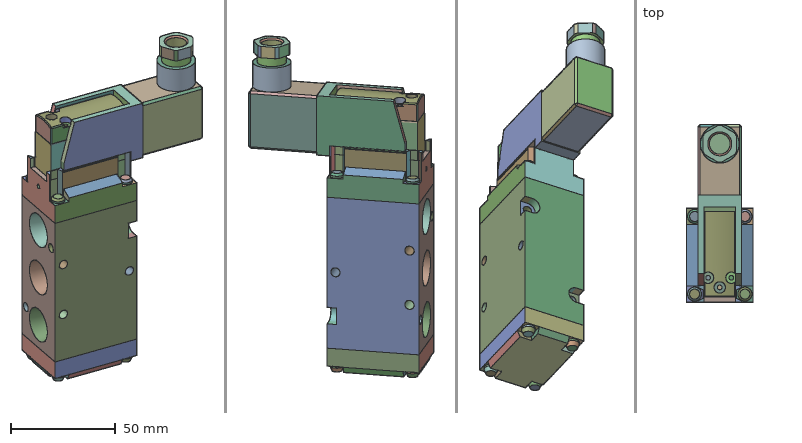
import cadquery as cq
import math


width = 32.0
height = 159.1
length = 85.0
valve_depth = 45.0

cap_top = 12.3
body_top = 88.3
shoulder_outer_z = 100.0
shoulder_inner_z = 102.3
corner_floor_z = 98.0
keel_bottom = 107.2
adapter_top = 112.3
cover_bottom = 126.8
pilot_top = 137.1

corner_size = 7.8
screw_inset = 4.0
head_radius = 3.3
head_rim_height = 1.0
head_top_radius = 2.4
adapter_head_height = 2.0

port_pitch = 26.0
port_middle_z = 50.8
port_radius = 7.5
port_mouth_radius = 8.6
port_depth = 10.3
drill_point_angle = 118.0
fixing_radius = 2.2
front_fixing_x = 12.1
front_fixing_dz = 22.1
cross_front_y = 4.6
cross_rear_y = 40.9
cross_front_dz = 13.7
rear_slot_width = 8.3
rear_slot_depth = 4.6

foot_height = 3.2
foot_inset = 1.6

column_half = 10.5
column_ledge = 1.0
relief_depth = 2.5
relief_floor_width = 4.0
relief_splay = 1.3
vent_radius = 1.1
vent_depth = 3.2
vent_z = 100.7

pilot_half = 10.5
pilot_front = 2.5
pilot_rear = 51.4
keel_half = 7.55
cheek_top_y = 13.8
cheek_foot_y = 8.1
cheek_foot_z = 116.3
nose_chamfer_width = 0.24
nose_chamfer_height = 1.0
channel_rear = 45.7

cover_half = keel_half
cover_chamfer = 0.5
cover_rear = 43.5
cover_edge_z = 135.7
cover_crown_z = 137.0
cover_hole_radius = 2.7
cover_hole_depth = 3.2
cover_pilot_radius = 1.1
cover_pilot_depth = 1.6
side_hole_x = 5.5
side_hole_y = 11.8
centre_hole_y = 7.2

connector_half = 10.5
connector_bottom = 107.9
connector_top = 136.8
connector_chamfer = 1.1
gland_radius = 9.2
gland_y = length - gland_radius
collar_top = 148.9
neck_radius = 7.0
nut_bottom = 153.4
nut_flats = 16.0
nut_round_radius = 8.8
cable_radius = 5.0
cable_mouth_radius = 5.7
cable_depth = 15.9

side_signs = (-1, 1)


def box(x0, x1, y0, y1, z0, z1):
    """Box given by its lower and upper limits along each axis."""
    return cq.Workplane("XY").box(x1 - x0, y1 - y0, z1 - z0, centered=False).translate((x0, y0, z0))


def centred_box(half_width, y0, y1, z0, z1):
    return box(-half_width, half_width, y0, y1, z0, z1)


def rod(radius, start, direction, depth):
    """Cylinder from a start point along a direction."""
    return cq.Workplane(cq.Solid.makeCylinder(radius, depth, cq.Vector(*start), cq.Vector(*direction)))


def corner_places():
    """The X sign and Y centre of each corner screw."""
    return [(sign, y) for sign in side_signs for y in (screw_inset, valve_depth - screw_inset)]


def corner_recess(sign, screw_y, z0, z1):
    """Square block that clears one corner around a screw head."""
    x0, x1 = sorted((sign * (width / 2 - corner_size), sign * width / 2))
    y0 = 0 if screw_y < valve_depth / 2 else valve_depth - corner_size
    return box(x0, x1, y0, y0 + corner_size, z0, z1)


def screw_head(sign, screw_y, seat_z, direction, head_height):
    """Round head: a plain rim and a tapered crown, rising from its seat up or down."""
    profile = [
        (0, 0),
        (head_radius, 0),
        (head_radius, head_rim_height),
        (head_top_radius, head_height),
        (0, head_height),
    ]
    outline = [(radius, direction * rise) for radius, rise in profile]
    head = cq.Workplane("XZ").polyline(outline).close().revolve(360, (0, 0), (0, 1))
    return head.translate((sign * (width / 2 - screw_inset), screw_y, seat_z))


def make_port(z):
    """Tapered port that ends in a drill point."""
    tip_depth = port_radius / math.tan(math.radians(drill_point_angle / 2))
    outline = [
        (0, 0),
        (port_mouth_radius, 0),
        (port_radius, port_depth),
        (0, port_depth + tip_depth),
    ]
    port = cq.Workplane("XY").polyline(outline).close().revolve(360, (0, 0), (0, 1))
    return port.translate((0, 0, z))


def make_valve_body():
    body = centred_box(width / 2, 0, valve_depth, cap_top, body_top)
    for step in (-1, 0, 1):
        body = body.cut(make_port(port_middle_z + step * port_pitch))

    for sign in side_signs:
        x = sign * front_fixing_x
        z = port_middle_z + sign * front_fixing_dz
        body = body.cut(rod(fixing_radius, (x, 0, z), (0, 1, 0), valve_depth))
        slot_floor = valve_depth - rear_slot_depth
        slot_half = rear_slot_width / 2
        slot_end = rod(slot_half, (x, slot_floor, z), (0, 1, 0), rear_slot_depth)
        x0, x1 = sorted((x, sign * width / 2))
        body = body.cut(slot_end).cut(box(x0, x1, slot_floor, valve_depth, z - slot_half, z + slot_half))

    cross_holes = [
        (cross_front_y, port_middle_z - cross_front_dz),
        (cross_front_y, port_middle_z + cross_front_dz),
        (cross_rear_y, port_middle_z),
    ]
    for y, z in cross_holes:
        body = body.cut(rod(fixing_radius, (-width / 2, y, z), (1, 0, 0), width))
    return body


def make_end_cap():
    cap = centred_box(width / 2, 0, valve_depth, foot_height, cap_top)

    foot = (
        cq.Workplane("XY")
        .center(0, valve_depth / 2)
        .rect(width - 2 * foot_inset, valve_depth - 2 * foot_inset)
        .workplane(offset=foot_height)
        .rect(width, valve_depth)
        .loft()
    )
    for sign, screw_y in corner_places():
        foot = foot.cut(corner_recess(sign, screw_y, 0, foot_height))
    cap = cap.union(foot)

    for sign, screw_y in corner_places():
        cap = cap.union(screw_head(sign, screw_y, foot_height, -1, foot_height))
    return cap


def column_relief(sign, screw_y):
    """Upright groove with splayed sides that clears a corner screw."""
    floor_half = relief_floor_width / 2
    mouth_half = floor_half + relief_splay
    floor_x = sign * (column_half - relief_depth)
    mouth_x = sign * column_half
    outline = [
        (mouth_x, screw_y - mouth_half),
        (floor_x, screw_y - floor_half),
        (floor_x, screw_y + floor_half),
        (mouth_x, screw_y + mouth_half),
    ]
    relief_height = adapter_top - corner_floor_z
    return cq.Workplane("XY").workplane(offset=corner_floor_z).polyline(outline).close().extrude(relief_height)


def make_adapter():
    half_section = [
        (width / 2, body_top),
        (width / 2, shoulder_outer_z),
        (column_half, shoulder_inner_z),
        (column_half, adapter_top - column_ledge),
        (column_half - column_ledge, adapter_top - column_ledge),
        (column_half - column_ledge, adapter_top),
    ]
    outline = half_section + [(-x, z) for x, z in reversed(half_section)]
    adapter = cq.Workplane("XZ").polyline(outline).close().extrude(-valve_depth)

    for y in (0, valve_depth - corner_size):
        adapter = adapter.union(centred_box(column_half, y, y + corner_size, shoulder_inner_z, adapter_top))

    for sign, screw_y in corner_places():
        recess = corner_recess(sign, screw_y, corner_floor_z, adapter_top)
        column = centred_box(column_half, 0, valve_depth, corner_floor_z, adapter_top)
        adapter = adapter.cut(recess.cut(column))
        adapter = adapter.cut(column_relief(sign, screw_y))
        adapter = adapter.union(screw_head(sign, screw_y, corner_floor_z, 1, adapter_head_height))

    adapter = adapter.cut(centred_box(keel_half, 0, valve_depth, keel_bottom, adapter_top))
    return adapter.cut(rod(vent_radius, (0, 0, vent_z), (0, 1, 0), vent_depth))


def make_pilot():
    side_outline = [
        (cheek_foot_y, adapter_top),
        (cheek_foot_y, cheek_foot_z),
        (cheek_top_y, pilot_top),
        (pilot_rear, pilot_top),
        (pilot_rear, adapter_top),
    ]
    pilot = cq.Workplane("YZ").polyline(side_outline).close().extrude(pilot_half, both=True)
    pilot = pilot.union(centred_box(pilot_half, valve_depth, pilot_rear, keel_bottom, adapter_top))
    pilot = pilot.cut(centred_box(keel_half, 0, channel_rear, cover_bottom, pilot_top))

    pilot = pilot.union(centred_box(keel_half, pilot_front, pilot_rear, keel_bottom, adapter_top))
    nose = centred_box(keel_half, pilot_front, cheek_top_y, adapter_top, cover_bottom)
    nose = nose.faces("<X or >X").edges(">Z").chamfer(nose_chamfer_height, nose_chamfer_width)
    return pilot.union(nose)


def make_cover():
    """Strip with an arched top and three recessed screw holes near the front."""
    cover = (
        cq.Workplane("XZ")
        .moveTo(-cover_half, cover_bottom)
        .lineTo(-cover_half, cover_edge_z)
        .threePointArc((0, cover_crown_z), (cover_half, cover_edge_z))
        .lineTo(cover_half, cover_bottom)
        .close()
        .extrude(pilot_front - cover_rear)
        .translate((0, pilot_front, 0))
    )

    top_and_front = cq.selectors.BoxSelector(
        (-width, 0, cover_bottom + cover_chamfer), (width, valve_depth, pilot_top)
    )
    cover = cover.edges(top_and_front).edges("|Y or <Y").chamfer(cover_chamfer)

    hole_floor = cover_crown_z - cover_hole_depth
    hole_places = [(-side_hole_x, side_hole_y), (side_hole_x, side_hole_y), (0, centre_hole_y)]
    for x, y in hole_places:
        cover = cover.cut(rod(cover_hole_radius, (x, y, hole_floor), (0, 0, 1), cover_hole_depth))
        cover = cover.cut(rod(cover_pilot_radius, (x, y, hole_floor), (0, 0, -1), cover_pilot_depth))
    return cover


def make_connector():
    connector = centred_box(connector_half, pilot_rear, length, connector_bottom, connector_top)
    connector = connector.edges("|Y or >Y").chamfer(connector_chamfer)

    centre = (0, gland_y)
    collar_bottom = connector_top - connector_chamfer
    connector = connector.union(rod(gland_radius, (*centre, collar_bottom), (0, 0, 1), collar_top - collar_bottom))
    connector = connector.union(rod(neck_radius, (*centre, collar_top), (0, 0, 1), nut_bottom - collar_top))
    nut_height = height - nut_bottom
    nut_corners = nut_flats / math.cos(math.radians(30))
    nut = (
        cq.Workplane("XY")
        .polygon(6, nut_corners)
        .extrude(nut_height)
        .rotate((0, 0, 0), (0, 0, 1), 30)
        .translate((*centre, nut_bottom))
        .intersect(rod(nut_round_radius, (*centre, nut_bottom), (0, 0, 1), nut_height))
    )
    connector = connector.union(nut)

    mouth_chamfer = cable_mouth_radius - cable_radius
    mouth = cq.Workplane(
        cq.Solid.makeCone(cable_radius, cable_mouth_radius, mouth_chamfer)
    ).translate((*centre, height - mouth_chamfer))
    cable_hole = rod(cable_radius, (*centre, height - cable_depth), (0, 0, 1), cable_depth)
    return connector.cut(cable_hole).cut(mouth)


valve_body = make_valve_body()
end_cap = make_end_cap()
adapter = make_adapter()
pilot = make_pilot()
cover = make_cover()
connector = make_connector()

result = cq.Compound.makeCompound(
    [
        valve_body.val(),
        end_cap.val(),
        adapter.val(),
        pilot.val(),
        cover.val(),
        connector.val(),
    ]
)